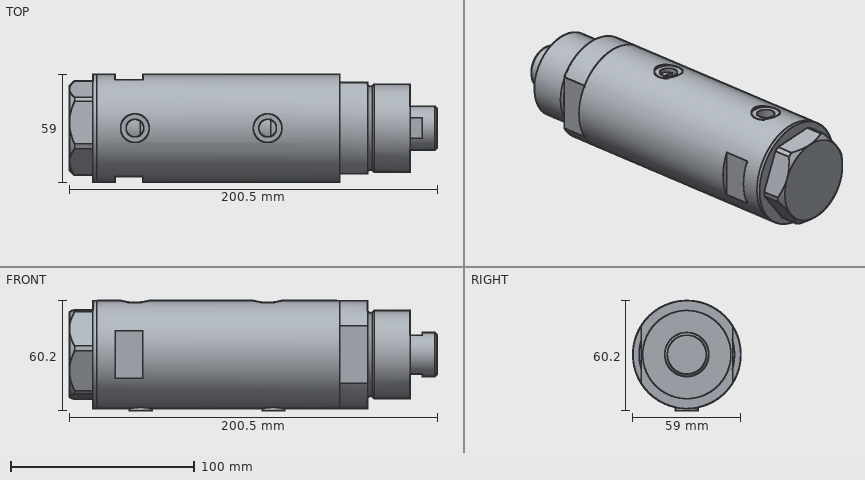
import cadquery as cq
import math

HEX_END = 12.8
BARREL_START = 14.8
BARREL_END = 147.3
SHOULDER_END = 162.5
NOSE_END = 185.5
TIP_END = 200.5

OUTER_R = 29.5
HEX_ACROSS_FLATS = 46.0
HEX_CORNER_R = 25.9
HEX_FACE_R = 23.0
HEX_TURN = 7.5
HUB_END = 38.5

BORE_R = 14.0
SOCKET_R = 26.0
BARREL_FLAT_START = 24.9
BARREL_FLAT_END = 40.0
BARREL_ACROSS_FLATS = 53.0
FIRST_PORT_X = 35.7
PORT_SPACING = 72.4
PORT_R = 4.8
SPOT_FACE_R = 7.8
SPOT_FACE_DEPTH = 1.2
STUD_SHIFT = 3.2
STUD_R = 6.2
STUD_BOTTOM = -30.7

SPIGOT_START = 109.6
HEAD_ACROSS_FLATS = 50.0
NOSE_R = 24.0
UNDERCUT_DEPTH = 1.2
UNDERCUT_FLOOR = 1.2

ROD_R = 12.0
ROD_CHAMFER = 1.5
ROD_FLAT_END = 192.2
ROD_ACROSS_FLATS = 21.2


def disc(start, end, radius):
    """Cylinder along the X axis between two stations."""
    return cq.Workplane("YZ", origin=(start, 0, 0)).circle(radius).extrude(end - start)


def upright(x, bottom, top, radius):
    """Cylinder along Z, centred above the X axis."""
    return cq.Workplane("XY", origin=(x, 0, bottom)).circle(radius).extrude(top - bottom)


def flats(start, end, across, normal):
    """Cutter that leaves two parallel flats facing along the normal, "Y" or "Z"."""
    core_width = across if normal == "Y" else 2 * OUTER_R
    core_height = across if normal == "Z" else 2 * OUTER_R
    core = cq.Workplane("YZ", origin=(start, 0, 0)).rect(core_width, core_height).extrude(end - start)
    return disc(start, end, OUTER_R).cut(core)


def make_cap():
    hexagon = (
        cq.Workplane("YZ")
        .polygon(6, HEX_ACROSS_FLATS / math.cos(math.pi / 6))
        .extrude(HEX_END)
        .rotate((0, 0, 0), (1, 0, 0), -HEX_TURN)
    )
    blank = disc(0, HEX_END, HEX_CORNER_R).faces("<X").chamfer(HEX_CORNER_R - HEX_FACE_R)
    flange = disc(HEX_END, BARREL_START, OUTER_R)
    hub = disc(BARREL_START, HUB_END, BORE_R)
    return hexagon.intersect(blank).union(flange).union(hub)


def make_barrel():
    barrel = disc(BARREL_START, BARREL_END, OUTER_R)
    port_places = [FIRST_PORT_X + i * PORT_SPACING for i in range(2)]
    for x in port_places:
        barrel = barrel.union(upright(x + STUD_SHIFT, STUD_BOTTOM, -SOCKET_R, STUD_R))
    barrel = barrel.cut(disc(BARREL_START, BARREL_END, BORE_R))
    barrel = barrel.cut(disc(SPIGOT_START, BARREL_END, SOCKET_R))
    barrel = barrel.cut(flats(BARREL_FLAT_START, BARREL_FLAT_END, BARREL_ACROSS_FLATS, "Y"))
    for x in port_places:
        barrel = barrel.cut(upright(x, 0, OUTER_R, PORT_R))
        barrel = barrel.cut(upright(x, OUTER_R - SPOT_FACE_DEPTH, OUTER_R, SPOT_FACE_R))
    return barrel


def make_nose():
    """Nose with a rounded undercut against the shoulder and a 45 degree run-out."""
    floor_r = NOSE_R - UNDERCUT_DEPTH
    floor_start = SHOULDER_END + UNDERCUT_DEPTH
    floor_end = floor_start + UNDERCUT_FLOOR
    arc_offset = UNDERCUT_DEPTH * (1 - math.sqrt(0.5))
    return (
        cq.Workplane("XY")
        .moveTo(SHOULDER_END, 0)
        .lineTo(SHOULDER_END, NOSE_R)
        .threePointArc((SHOULDER_END + arc_offset, floor_r + arc_offset), (floor_start, floor_r))
        .lineTo(floor_end, floor_r)
        .lineTo(floor_end + UNDERCUT_DEPTH, NOSE_R)
        .lineTo(NOSE_END, NOSE_R)
        .lineTo(NOSE_END, 0)
        .close()
        .revolve(360, (0, 0, 0), (1, 0, 0))
    )


def make_head():
    spigot = disc(SPIGOT_START, BARREL_END, SOCKET_R)
    shoulder = disc(BARREL_END, SHOULDER_END, OUTER_R)
    shoulder = shoulder.cut(flats(BARREL_END, SHOULDER_END, HEAD_ACROSS_FLATS, "Y"))
    rod_bore = disc(SPIGOT_START, NOSE_END, ROD_R)
    return shoulder.union(spigot).union(make_nose()).cut(rod_bore)


def make_rod():
    tip = disc(SPIGOT_START, TIP_END, ROD_R).faces(">X").chamfer(ROD_CHAMFER)
    tip = tip.cut(flats(NOSE_END, ROD_FLAT_END, ROD_ACROSS_FLATS, "Z"))
    return disc(HUB_END, SPIGOT_START, BORE_R).union(tip)


cap = make_cap()
barrel = make_barrel()
head = make_head()
rod = make_rod()

result = cq.Compound.makeCompound([cap.val(), barrel.val(), head.val(), rod.val()])